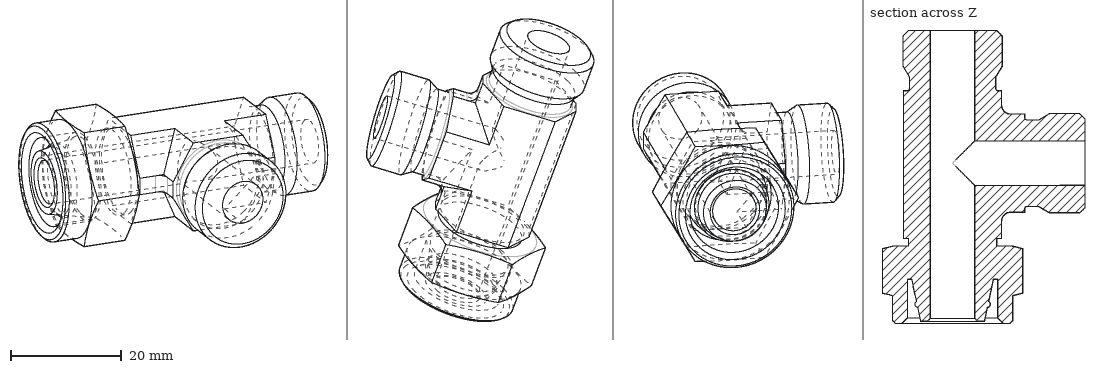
import cadquery as cq
import math

male_end = 24.0
nut_end = -29.0
body_end = 13.1
body_rear = -13.65

body_flats = 17.0
body_width = 17.8
corner_fillet = 1.6
bore_diameter = 8.0

thread_diameter = 18.0
thread_chamfer = 1.0
thread_runout_start = 6.5
thread_runout_end = 8.4
relief_diameter = 15.7
relief_fillet = 0.4

neck_diameter = 16.0

nut_flats = 22.0
nut_hex_rear = -14.95
nut_hex_front = -24.0
nut_corner_chamfer_angle = 15.0
nut_chamfer_rear_diameter = 21.6
collar_diameter = 21.8
collar_chamfer = 0.5
nut_bore_diameter = 16.3
nut_mouth_diameter = 18.4
nut_mouth_depth = 1.0
nut_shoulder = -21.0

nose_end = -28.6
nose_tip_diameter = 11.6
nose_half_angle = 12.0
nose_bore_chamfer_radial = 0.55
nose_bore_chamfer_length = 0.55
seal_outer_diameter = 13.7
seal_section_diameter = 1.2
seal_centre = -25.5


def hexagon_corner_radius(flats):
    return flats / math.sqrt(3)


def hexagon_bar(flats, start, end):
    """Hexagonal bar along Y with flats facing up and down."""
    return (
        cq.Workplane("XZ", origin=(0, start, 0))
        .polygon(6, 2 * hexagon_corner_radius(flats))
        .extrude(start - end)
    )


def revolve_about_y(points):
    """Solid of revolution about Y from (radius, y) points."""
    return cq.Workplane("XY").polyline(points).close().revolve(360, (0, 0, 0), (0, 1, 0))


def turn_to_branch(shape):
    """Swing a shape lying along +Y round to +X."""
    return shape.rotate((0, 0, 0), (0, 0, 1), -90)


def body_bar(start, end):
    """Hexagonal bar along Y with its two side corners cut flat."""
    bar = hexagon_bar(body_flats, start, end)
    length = end - start
    limits = cq.Workplane("XY").box(body_width, length, body_flats).translate((0, (start + end) / 2, 0))
    return bar.intersect(limits)


def corner_fillet_web(side):
    """Concave fillet between the side flats of run and branch, on the given Y side."""
    half_width = body_width / 2
    corner_reach = hexagon_corner_radius(body_flats)
    flat_height = 2 * (corner_reach - half_width) * math.sqrt(3)
    far = half_width + corner_fillet
    arc_middle = far - corner_fillet * math.cos(math.pi / 4)
    return (
        cq.Workplane("XY", origin=(0, 0, -flat_height / 2))
        .moveTo(half_width, side * half_width)
        .lineTo(far, side * half_width)
        .threePointArc((arc_middle, side * arc_middle), (half_width, side * far))
        .close()
        .extrude(flat_height)
    )


def male_end_stud():
    """Male end along +Y: relief groove, thread run-out and thread envelope."""
    relief_radius = relief_diameter / 2
    thread_radius = thread_diameter / 2
    fillet_middle = relief_fillet * (1 - math.cos(math.pi / 4))
    return (
        cq.Workplane("XY")
        .lineTo(0, male_end)
        .lineTo(thread_radius - thread_chamfer, male_end)
        .lineTo(thread_radius, male_end - thread_chamfer)
        .lineTo(thread_radius, male_end - thread_runout_start)
        .lineTo(relief_radius, male_end - thread_runout_end)
        .lineTo(relief_radius, body_end + relief_fillet)
        .threePointArc(
            (relief_radius + fillet_middle, body_end + fillet_middle),
            (relief_radius + relief_fillet, body_end),
        )
        .lineTo(relief_radius + relief_fillet, 0)
        .close()
        .revolve(360, (0, 0, 0), (0, 1, 0))
    )


def neck():
    """Plain cylinder joining the body to the nut."""
    length = body_rear - nut_hex_rear
    return cq.Workplane("XZ", origin=(0, body_rear, 0)).circle(neck_diameter / 2).extrude(length)


def nut():
    """Hexagon with chamfered corners, plain collar and stepped bore."""
    slope = math.tan(math.radians(nut_corner_chamfer_angle))
    corner_radius = hexagon_corner_radius(nut_flats)
    rear_radius = nut_chamfer_rear_diameter / 2
    collar_radius = collar_diameter / 2
    chamfer_envelope = revolve_about_y([
        (0, nut_hex_rear),
        (rear_radius, nut_hex_rear),
        (corner_radius, nut_hex_rear - (corner_radius - rear_radius) * slope),
        (corner_radius, nut_hex_front + (corner_radius - collar_radius) * slope),
        (collar_radius, nut_hex_front),
        (0, nut_hex_front),
    ])
    hexagon = hexagon_bar(nut_flats, nut_hex_front, nut_hex_rear).intersect(chamfer_envelope)
    collar = revolve_about_y([
        (0, nut_hex_front),
        (collar_radius, nut_hex_front),
        (collar_radius, nut_end + collar_chamfer),
        (collar_radius - collar_chamfer, nut_end),
        (0, nut_end),
    ])
    bore = revolve_about_y([
        (0, nut_shoulder),
        (nut_bore_diameter / 2, nut_shoulder),
        (nut_bore_diameter / 2, nut_end + nut_mouth_depth),
        (nut_mouth_diameter / 2, nut_end),
        (0, nut_end),
    ])
    return hexagon.union(collar).cut(bore)


def sealing_nose():
    """24-degree cone standing in the nut, carrying an O-ring."""
    def cone_radius(y):
        return nose_tip_diameter / 2 + (y - nose_end) * math.tan(math.radians(nose_half_angle))

    cone = revolve_about_y([
        (0, nut_shoulder),
        (cone_radius(nut_shoulder), nut_shoulder),
        (nose_tip_diameter / 2, nose_end),
        (0, nose_end),
    ])
    section_radius = seal_section_diameter / 2
    ring_radius = seal_outer_diameter / 2 - section_radius
    seal = (
        cq.Workplane("XY", origin=(ring_radius, seal_centre, 0))
        .circle(section_radius)
        .revolve(360, (-ring_radius, 0, 0), (-ring_radius, 1, 0))
    )
    return cone.union(seal)


def run_bore():
    """Through bore of the run, flared at the nose."""
    radius = bore_diameter / 2
    return revolve_about_y([
        (0, male_end),
        (radius, male_end),
        (radius, nose_end + nose_bore_chamfer_length),
        (radius + nose_bore_chamfer_radial, nose_end),
        (0, nose_end),
    ])


def branch_bore():
    """Bore from the branch end face to the centre of the run."""
    return cq.Workplane("YZ").circle(bore_diameter / 2).extrude(male_end)


result = body_bar(body_rear, body_end).union(turn_to_branch(body_bar(0, body_end)))
for side in (-1, 1):
    result = result.union(corner_fillet_web(side))
result = result.union(male_end_stud()).union(turn_to_branch(male_end_stud()))
result = result.union(neck()).union(nut()).union(sealing_nose())
result = result.cut(run_bore()).cut(branch_bore())